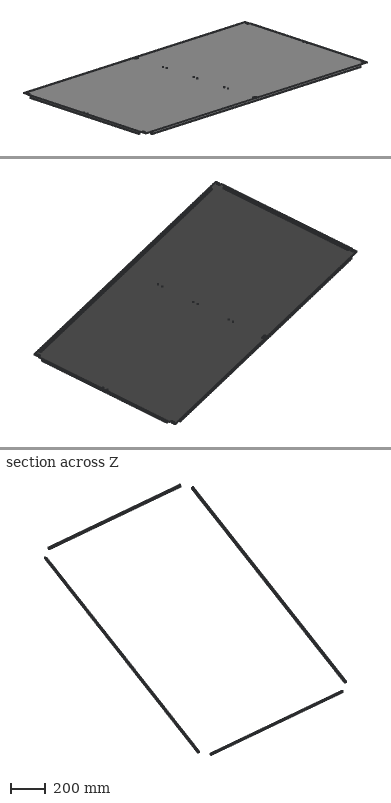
import cadquery as cq

WIDTH = 999.0
LENGTH = 1790.0
HEIGHT = 18.0
SHEET = 2.0

TAB_WIDTH = 34.0
TAB_SETBACK = 4.0
RELIEF_WIDTH = 9.0
RELIEF_DEPTH = 16.0
CORNER_HOLE_DIAMETER = 7.0
CORNER_HOLE_SIDE_INSET = 18.0
CORNER_HOLE_END_INSET = 11.6

END_RIM_GAP = 55.0
SIDE_RIM_GAP = 54.0
LIP_WIDTH = 9.8

HOLE_DIAMETER = 5.0
PAIR_SPACING = 30.0
PAIR_OFFSET = 250.0
END_PAIR_INSET = 9.0
SLOT_LENGTH = 27.0
SLOT_WIDTH = 9.8
SLOT_INSET = 15.0

SIDES = (-1, 1)
HALF_WIDTH = WIDTH / 2
HALF_LENGTH = LENGTH / 2
FACE_BOTTOM = HEIGHT - SHEET


def box(x_size, y_size, z_size, x, y, z):
    """Box centred on x and y with its underside at z."""
    block = cq.Workplane("XY").box(x_size, y_size, z_size, centered=(True, True, False))
    return block.translate((x, y, z))


def corner_points(side_inset, end_inset):
    """One point near each corner, measured in from the side and end edges."""
    return [
        (side_x * (HALF_WIDTH - side_inset), side_y * (HALF_LENGTH - end_inset))
        for side_x in SIDES
        for side_y in SIDES
    ]


def face_sheet():
    """Flat face with a set-back tab and a relief slit at each corner."""
    sheet = box(WIDTH, LENGTH, SHEET, 0, 0, FACE_BOTTOM)
    for x, y in corner_points(TAB_WIDTH / 2, 0):
        sheet = sheet.cut(box(TAB_WIDTH, 2 * TAB_SETBACK, SHEET, x, y, FACE_BOTTOM))
    for x, y in corner_points(TAB_WIDTH - RELIEF_WIDTH / 2, 0):
        sheet = sheet.cut(box(RELIEF_WIDTH, 2 * RELIEF_DEPTH, SHEET, x, y, FACE_BOTTOM))
    return sheet


def add_rims(body):
    """Downward wall and inward lip along each edge, stopping short of the corners."""
    end_length = WIDTH - 2 * END_RIM_GAP
    side_length = LENGTH - 2 * SIDE_RIM_GAP
    for side in SIDES:
        for across, height in ((SHEET, HEIGHT), (LIP_WIDTH, SHEET)):
            body = body.union(box(end_length, across, height, 0, side * (HALF_LENGTH - across / 2), 0))
            body = body.union(box(across, side_length, height, side * (HALF_WIDTH - across / 2), 0, 0))
    return body


def cut_openings(body):
    """Hole pairs along both centre lines, corner tab holes and a slot at each side."""
    pair_centres = [(x, 0) for x in (-PAIR_OFFSET, 0, PAIR_OFFSET)]
    pair_centres += [(0, side * (HALF_LENGTH - END_PAIR_INSET)) for side in SIDES]
    hole_points = [(x + side * PAIR_SPACING / 2, y) for x, y in pair_centres for side in SIDES]
    tab_points = corner_points(CORNER_HOLE_SIDE_INSET, CORNER_HOLE_END_INSET)
    slot_points = [(side * (HALF_WIDTH - SLOT_INSET), 0) for side in SIDES]

    top = cq.Workplane("XY").workplane(offset=HEIGHT)
    holes = top.pushPoints(hole_points).circle(HOLE_DIAMETER / 2).extrude(-SHEET)
    tab_holes = top.pushPoints(tab_points).circle(CORNER_HOLE_DIAMETER / 2).extrude(-SHEET)
    slots = top.pushPoints(slot_points).slot2D(SLOT_LENGTH, SLOT_WIDTH, 90).extrude(-SHEET)
    return body.cut(holes).cut(tab_holes).cut(slots)


result = cut_openings(add_rims(face_sheet()))